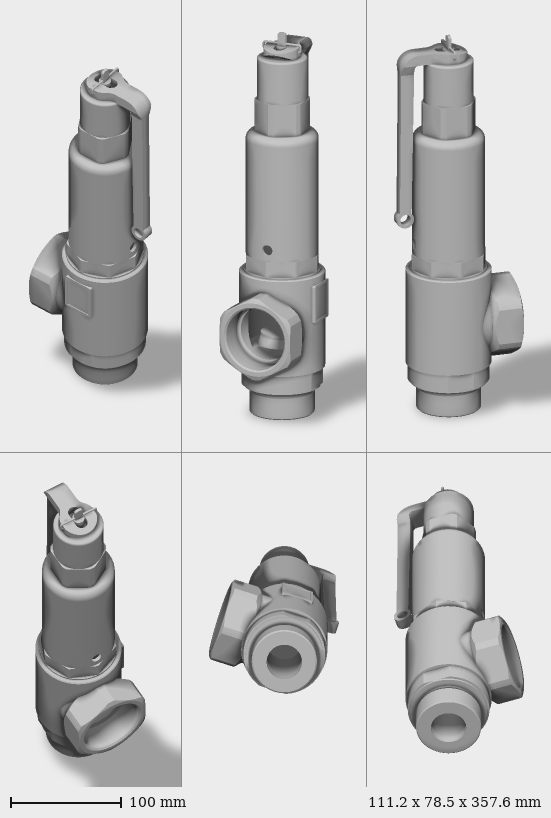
import cadquery as cq
import math


TOTAL_LENGTH_X = 111.2
TOTAL_HEIGHT = 357.61
INLET_THREAD_TOP = 20.2
COLLAR_BOTTOM = 25.6
COLLAR_TOP = 27.7
WRENCH_TOP = 44.0
BODY_TOP = 134.5
OCTAGON_BOTTOM = 136.0
OCTAGON_TOP = 150.3
BONNET_TOP = 266.0
CAP_HEX_TOP = 295.8
CAP_TOP = 335.4

THREAD_RADIUS = 29.5
THREAD_CHAMFER = 1.2
RELIEF_RADIUS = 28.3
UNDERCUT_RADIUS = 27.3
UNDERCUT_BOTTOM = 21.6
UNDERCUT_TOP = 23.4
COLLAR_RADIUS = 34.9
WRENCH_RADIUS = 37.0
WRENCH_ACROSS_FLATS = 69.7
BODY_RADIUS = 39.0
BODY_CHAMFER = 1.0

OUTLET_Z = 83.7
OUTLET_FACE = 60.6
OUTLET_HEX_LENGTH = 29.4
OUTLET_ACROSS_FLATS = 70.0
OUTLET_HEX_RADIUS = 38.6
OUTLET_CHAMFER_RADIUS = 34.4
OUTLET_CHAMFER_LENGTH = 2.0
OUTLET_BACK_RADIUS = 32.6
OUTLET_BACK_CHAMFER = 5.5
OUTLET_NECK_RADIUS = 32.3
OUTLET_THREAD_RADIUS = 28.8
OUTLET_THREAD_DEPTH = 25.0
OUTLET_MOUTH_CHAMFER = 1.6
OUTLET_BORE_RADIUS = 25.8
OUTLET_STEP_LENGTH = 2.0

CAVITY_RADIUS = 31.0
CAVITY_FLOOR = 64.8
INLET_BORE_RADIUS = 16.0
SEAT_TOP_RADIUS = 19.4
SEAT_BASE_RADIUS = 22.4
SEAT_TOP = 72.7
DISC_THICKNESS = 3.2

BADGE_FACE = 39.5
BADGE_WIDTH = 29.0
BADGE_HEIGHT = 35.5
BADGE_Z = 108.7
BADGE_CORNER = 1.5
BADGE_BORDER = 2.5
BADGE_RECESS = 0.8

BONNET_COLLAR_RADIUS = 35.1
OCTAGON_ACROSS_FLATS = 65.0
OCTAGON_CORNER_RADIUS = 34.95
BONNET_RADIUS = 33.0
BONNET_SHOULDER = 7.5
BONNET_WALL = 3.0
BONNET_ROOF = 6.0
VENT_RADIUS = 5.0
VENT_Z = 160.7

CAP_ACROSS_FLATS = 46.0
CAP_HEX_RADIUS = 25.2
CAP_RADIUS = 22.8
CAP_EDGE = 2.0

LEVER_TOP = 345.1
HEAD_RADIUS = 17.0
HEAD_HALF_WIDTH = 16.4
TIP_Z = 341.3
TIP_HALF_HEIGHT = 0.9
TIP_TOP_START = 4.2
TIP_BOTTOM_START = -8.5
ARM_HALF_WIDTH = 9.5
NECK_START = 11.2
NECK_END = 17.9
NECK_SAG = 0.6
BEND_INNER_X = 34.9
BEND_OUTER_X = 47.0
BEND_OUTER_RADIUS = 15.5
BEND_INNER_RADIUS = 3.0
HANGER_HALF_WIDTH = 5.0
HANGER_TAPER_BOTTOM = 326.0
HANGER_BEND_BOTTOM = 305.0
HANGER_LOW_INNER_X = 37.0
HANGER_LOW_OUTER_X = 48.1
EYE_RADIUS = 8.0
EYE_X = TOTAL_LENGTH_X - OUTLET_FACE - EYE_RADIUS
EYE_Z = 186.4
EYE_HOLE_RADIUS = 5.0
SLOT_START = -10.9
SLOT_END = 12.9
SLOT_WIDTH = 11.4

SPINDLE_RADIUS = 5.5
PIN_RADIUS = 3.0
PIN_Z = 340.8
WIRE_RADIUS = 1.1
WIRE_BEND = 1.7
WIRE_HALF_SPAN = 18.2
WIRE_TOP_Z = 347.3
TAG_WIDTH = 8.0
TAG_THICKNESS = 2.8
TAG_CORNER = 2.5


def cylinder(radius, bottom, top):
    return cq.Workplane("XY").workplane(offset=bottom).circle(radius).extrude(top - bottom)


def polygon_prism(sides, across_flats, bottom, top, turn=0.0):
    """Upright prism; without a turn one corner points to +X."""
    corner_diameter = across_flats / math.cos(math.pi / sides)
    prism = cq.Workplane("XY").polygon(sides, corner_diameter).extrude(top - bottom)
    return prism.rotate((0, 0, 0), (0, 0, 1), turn).translate((0, 0, bottom))


def cross_cylinder(radius, x_start, x_end, z):
    """Cylinder lying along X."""
    return cq.Workplane("YZ", origin=(x_start, 0, z)).circle(radius).extrude(x_end - x_start)


def to_outlet(shape):
    """Carry an upright shape at the origin over to the outlet face, +Z running inwards along +X."""
    return shape.rotate((0, 0, 0), (0, 1, 0), 90).translate((-OUTLET_FACE, 0, OUTLET_Z))


def make_outlet_branch():
    hexagon = polygon_prism(6, OUTLET_ACROSS_FLATS, 0, OUTLET_HEX_LENGTH)
    turned_blank = (
        cq.Workplane("XZ")
        .moveTo(0, 0)
        .lineTo(OUTLET_CHAMFER_RADIUS, 0)
        .lineTo(OUTLET_HEX_RADIUS, OUTLET_CHAMFER_LENGTH)
        .lineTo(OUTLET_HEX_RADIUS, OUTLET_HEX_LENGTH - OUTLET_BACK_CHAMFER)
        .lineTo(OUTLET_BACK_RADIUS, OUTLET_HEX_LENGTH)
        .lineTo(0, OUTLET_HEX_LENGTH)
        .close()
        .revolve(360, (0, 0), (0, 1))
    )
    neck = cylinder(OUTLET_NECK_RADIUS, OUTLET_CHAMFER_LENGTH, OUTLET_FACE)
    return to_outlet(hexagon.intersect(turned_blank).union(neck))


def make_outlet_bore():
    thread = cylinder(OUTLET_THREAD_RADIUS, 0, OUTLET_THREAD_DEPTH)
    mouth = (
        cq.Workplane("XY")
        .circle(OUTLET_THREAD_RADIUS + OUTLET_MOUTH_CHAMFER)
        .workplane(offset=OUTLET_MOUTH_CHAMFER)
        .circle(OUTLET_THREAD_RADIUS)
        .loft()
    )
    step = (
        cq.Workplane("XY")
        .workplane(offset=OUTLET_THREAD_DEPTH)
        .circle(OUTLET_THREAD_RADIUS)
        .workplane(offset=OUTLET_STEP_LENGTH)
        .circle(OUTLET_BORE_RADIUS)
        .loft()
    )
    cavity_entry = math.sqrt(CAVITY_RADIUS**2 - OUTLET_BORE_RADIUS**2)
    passage = cylinder(OUTLET_BORE_RADIUS, 0, OUTLET_FACE - cavity_entry)
    return to_outlet(thread.union(mouth).union(step).union(passage))


def make_seat():
    return (
        cq.Workplane("XZ")
        .moveTo(0, CAVITY_FLOOR)
        .lineTo(SEAT_BASE_RADIUS, CAVITY_FLOOR)
        .lineTo(SEAT_TOP_RADIUS, SEAT_TOP)
        .lineTo(0, SEAT_TOP)
        .close()
        .revolve(360, (0, 0), (0, 1))
    )


def make_badge():
    return (
        cq.Workplane("XZ", origin=(0, -BADGE_FACE, BADGE_Z))
        .rect(BADGE_WIDTH, BADGE_HEIGHT)
        .extrude(CAVITY_RADIUS - BADGE_FACE)
        .edges("|Y")
        .fillet(BADGE_CORNER)
    )


def make_badge_recess():
    return (
        cq.Workplane("XZ", origin=(0, -BADGE_FACE, BADGE_Z))
        .rect(BADGE_WIDTH - 2 * BADGE_BORDER, BADGE_HEIGHT - 2 * BADGE_BORDER)
        .extrude(-BADGE_RECESS)
    )


def make_body():
    thread = cylinder(THREAD_RADIUS, 0, INLET_THREAD_TOP).faces("<Z").chamfer(THREAD_CHAMFER)
    relief = cylinder(RELIEF_RADIUS, INLET_THREAD_TOP, COLLAR_BOTTOM)
    undercut_cutter = cylinder(THREAD_RADIUS, UNDERCUT_BOTTOM, UNDERCUT_TOP)
    undercut_core = cylinder(UNDERCUT_RADIUS, UNDERCUT_BOTTOM, UNDERCUT_TOP)
    relief = relief.cut(undercut_cutter).union(undercut_core)
    collar = cylinder(COLLAR_RADIUS, COLLAR_BOTTOM, COLLAR_TOP)
    wrench_slab = cq.Workplane("XY").box(2 * WRENCH_RADIUS, WRENCH_ACROSS_FLATS, 2 * WRENCH_TOP)
    wrench = cylinder(WRENCH_RADIUS, COLLAR_TOP, WRENCH_TOP).intersect(wrench_slab)
    barrel = cylinder(BODY_RADIUS, WRENCH_TOP, BODY_TOP).faces(">Z").chamfer(BODY_CHAMFER)
    body = thread.union(relief).union(collar).union(wrench).union(barrel)
    body = body.union(make_outlet_branch()).union(make_badge())
    body = body.cut(cylinder(CAVITY_RADIUS, CAVITY_FLOOR, BODY_TOP)).cut(make_outlet_bore())
    body = body.union(make_seat()).cut(cylinder(INLET_BORE_RADIUS, 0, SEAT_TOP))
    return body.cut(make_badge_recess())


def make_disc():
    return cylinder(SEAT_TOP_RADIUS, SEAT_TOP, SEAT_TOP + DISC_THICKNESS)


def make_bonnet():
    barrel = cylinder(BONNET_RADIUS, OCTAGON_TOP, BONNET_TOP).faces(">Z").edges().fillet(BONNET_SHOULDER)
    octagon = polygon_prism(8, OCTAGON_ACROSS_FLATS, OCTAGON_BOTTOM, OCTAGON_TOP)
    octagon = octagon.intersect(cylinder(OCTAGON_CORNER_RADIUS, OCTAGON_BOTTOM, OCTAGON_TOP))
    collar = cylinder(BONNET_COLLAR_RADIUS, BODY_TOP, OCTAGON_BOTTOM)
    bonnet = barrel.union(octagon).union(collar)
    bonnet = bonnet.cut(cylinder(BONNET_RADIUS - BONNET_WALL, BODY_TOP, BONNET_TOP - BONNET_ROOF))
    return bonnet.cut(cross_cylinder(VENT_RADIUS, -BONNET_RADIUS, BONNET_RADIUS, VENT_Z))


def make_cap():
    hexagon = polygon_prism(6, CAP_ACROSS_FLATS, BONNET_TOP, CAP_HEX_TOP)
    hexagon = hexagon.intersect(cylinder(CAP_HEX_RADIUS, BONNET_TOP, CAP_HEX_TOP))
    dome = cylinder(CAP_RADIUS, CAP_HEX_TOP, CAP_TOP).faces(">Z").edges().fillet(CAP_EDGE)
    return hexagon.union(dome).cut(cylinder(SPINDLE_RADIUS, BONNET_TOP, CAP_TOP))


def make_lever_side_shape():
    """Side outline of the whole lever, wider in Y than any part of it."""
    tip_top = TIP_Z + TIP_HALF_HEIGHT
    tip_run = HEAD_RADIUS + TIP_TOP_START
    tip_drop = LEVER_TOP - tip_top
    tip_arc_radius = (tip_run**2 + tip_drop**2) / (2 * tip_drop)
    outline = (
        cq.Workplane("XZ")
        .moveTo(-HEAD_RADIUS, tip_top)
        .radiusArc((TIP_TOP_START, LEVER_TOP), tip_arc_radius)
        .lineTo(BEND_OUTER_X - BEND_OUTER_RADIUS, LEVER_TOP)
        .radiusArc((BEND_OUTER_X, LEVER_TOP - BEND_OUTER_RADIUS), BEND_OUTER_RADIUS)
        .lineTo(BEND_OUTER_X, HANGER_BEND_BOTTOM)
        .lineTo(HANGER_LOW_OUTER_X, EYE_Z)
        .lineTo(HANGER_LOW_INNER_X, EYE_Z)
        .lineTo(BEND_INNER_X, HANGER_BEND_BOTTOM)
        .lineTo(BEND_INNER_X, CAP_TOP - BEND_INNER_RADIUS)
        .radiusArc((BEND_INNER_X - BEND_INNER_RADIUS, CAP_TOP), -BEND_INNER_RADIUS)
        .lineTo(TIP_BOTTOM_START, CAP_TOP)
        .lineTo(-HEAD_RADIUS, TIP_Z - TIP_HALF_HEIGHT)
        .close()
    )
    return outline.extrude(HEAD_RADIUS, both=True)


def make_lever_plan():
    """Head and top arm seen along Z: round head with two side flats, running into a straight arm."""
    height = LEVER_TOP - CAP_TOP
    flats = cq.Workplane("XY").box(2 * HEAD_RADIUS, 2 * HEAD_HALF_WIDTH, height, centered=(True, True, False))
    head = cq.Workplane("XY").circle(HEAD_RADIUS).extrude(height).intersect(flats)
    neck_half_width = math.sqrt(HEAD_RADIUS**2 - NECK_START**2)
    neck_middle = ((NECK_START + NECK_END) / 2, (neck_half_width + ARM_HALF_WIDTH) / 2 - NECK_SAG)
    arm = (
        cq.Workplane("XY")
        .moveTo(0, -neck_half_width)
        .lineTo(NECK_START, -neck_half_width)
        .threePointArc((neck_middle[0], -neck_middle[1]), (NECK_END, -ARM_HALF_WIDTH))
        .lineTo(BEND_OUTER_X, -ARM_HALF_WIDTH)
        .lineTo(BEND_OUTER_X, ARM_HALF_WIDTH)
        .lineTo(NECK_END, ARM_HALF_WIDTH)
        .threePointArc(neck_middle, (NECK_START, neck_half_width))
        .lineTo(0, neck_half_width)
        .close()
        .extrude(height)
    )
    return head.union(arm).translate((0, 0, CAP_TOP))


def make_hanger_front():
    """Hanging arm seen along X: it tapers below the bend, then runs straight to the eye."""
    return (
        cq.Workplane("YZ")
        .moveTo(-ARM_HALF_WIDTH, CAP_TOP)
        .lineTo(ARM_HALF_WIDTH, CAP_TOP)
        .lineTo(HANGER_HALF_WIDTH, HANGER_TAPER_BOTTOM)
        .lineTo(HANGER_HALF_WIDTH, EYE_Z)
        .lineTo(-HANGER_HALF_WIDTH, EYE_Z)
        .lineTo(-HANGER_HALF_WIDTH, HANGER_TAPER_BOTTOM)
        .close()
        .extrude(HANGER_LOW_OUTER_X)
    )


def eye_plug(radius):
    return cq.Workplane("XZ", origin=(EYE_X, 0, EYE_Z)).circle(radius).extrude(HANGER_HALF_WIDTH, both=True)


def make_pin():
    """Cross pin through spindle and lever head; the same shape cuts its hole in both."""
    return cq.Workplane("XZ", origin=(0, 0, PIN_Z)).circle(PIN_RADIUS).extrude(HEAD_HALF_WIDTH, both=True)


def make_lever():
    envelope = make_lever_plan().union(make_hanger_front())
    lever = make_lever_side_shape().intersect(envelope)
    lever = lever.union(eye_plug(EYE_RADIUS)).cut(eye_plug(EYE_HOLE_RADIUS))
    slot = (
        cq.Workplane("XY", origin=((SLOT_START + SLOT_END) / 2, 0, CAP_TOP))
        .slot2D(SLOT_END - SLOT_START, SLOT_WIDTH)
        .extrude(LEVER_TOP - CAP_TOP)
    )
    return lever.cut(slot).cut(make_pin())


def make_spindle():
    return cylinder(SPINDLE_RADIUS, BONNET_TOP, LEVER_TOP).cut(make_pin())


def make_wire():
    """Wire loop from one pin end, up and over the lever head, to the other pin end."""
    shift = WIRE_BEND * (1 - math.sqrt(0.5))
    span = WIRE_HALF_SPAN
    inner = span - WIRE_BEND
    path = (
        cq.Workplane("YZ")
        .moveTo(-HEAD_HALF_WIDTH, PIN_Z)
        .lineTo(-inner, PIN_Z)
        .threePointArc((-span + shift, PIN_Z + shift), (-span, PIN_Z + WIRE_BEND))
        .lineTo(-span, WIRE_TOP_Z - WIRE_BEND)
        .threePointArc((-span + shift, WIRE_TOP_Z - shift), (-inner, WIRE_TOP_Z))
        .lineTo(inner, WIRE_TOP_Z)
        .threePointArc((span - shift, WIRE_TOP_Z - shift), (span, WIRE_TOP_Z - WIRE_BEND))
        .lineTo(span, PIN_Z + WIRE_BEND)
        .threePointArc((span - shift, PIN_Z + shift), (inner, PIN_Z))
        .lineTo(HEAD_HALF_WIDTH, PIN_Z)
    )
    return cq.Workplane("XZ", origin=(0, -HEAD_HALF_WIDTH, PIN_Z)).circle(WIRE_RADIUS).sweep(path)


def make_tag():
    height = TOTAL_HEIGHT - LEVER_TOP
    tag = cq.Workplane("XY").box(TAG_THICKNESS, TAG_WIDTH, height, centered=(True, True, False))
    tag = tag.faces(">Z").edges("|X").fillet(TAG_CORNER).translate((0, 0, LEVER_TOP))
    wire_hole = cq.Workplane("XZ", origin=(0, 0, WIRE_TOP_Z)).circle(WIRE_RADIUS).extrude(TAG_WIDTH, both=True)
    return tag.cut(wire_hole)


body = make_body()
disc = make_disc()
bonnet = make_bonnet()
cap = make_cap()
lever = make_lever()
spindle = make_spindle()
pin = make_pin()
wire = make_wire()
tag = make_tag()

bodies = (body, disc, bonnet, cap, lever, spindle, pin, wire, tag)
result = cq.Compound.makeCompound([part.solids().val() for part in bodies])